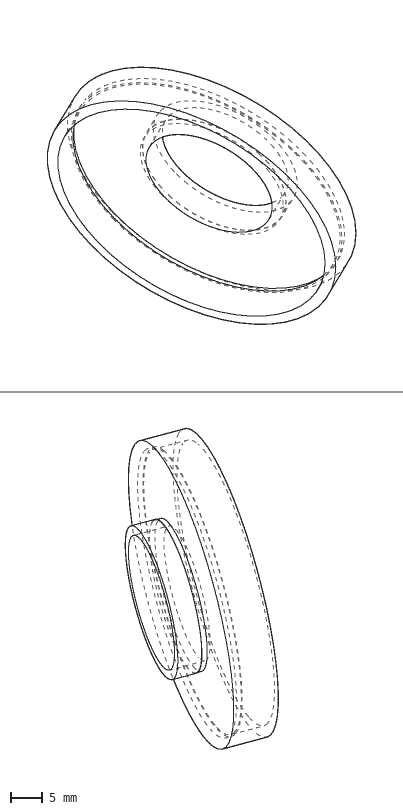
import cadquery as cq

flange_diameter = 50.8
flange_thickness = 7.5
cup_diameter = 47.05
cup_depth = 6.5
undercut_diameter = 47.7
undercut_length = 0.9

collar_diameter = 25.35
neck_diameter = 25.2
neck_length = 0.9
overall_depth = 12.5
collar_length = overall_depth - flange_thickness - neck_length

bore_diameter = 22.2


def cylinder_along_y(diameter, start, length):
    """Solid cylinder on the Y axis, running from start towards +Y."""
    base = cq.Workplane("XZ", origin=(0, start, 0))
    return base.circle(diameter / 2).extrude(-length)


flange = cylinder_along_y(flange_diameter, 0, flange_thickness)
neck = cylinder_along_y(neck_diameter, flange_thickness, neck_length)
collar = cylinder_along_y(collar_diameter, flange_thickness + neck_length, collar_length)

cup = cylinder_along_y(cup_diameter, 0, cup_depth)
undercut = cylinder_along_y(undercut_diameter, cup_depth - undercut_length, undercut_length)
bore = cylinder_along_y(bore_diameter, 0, overall_depth)

result = flange.union(neck).union(collar).cut(cup).cut(undercut).cut(bore)